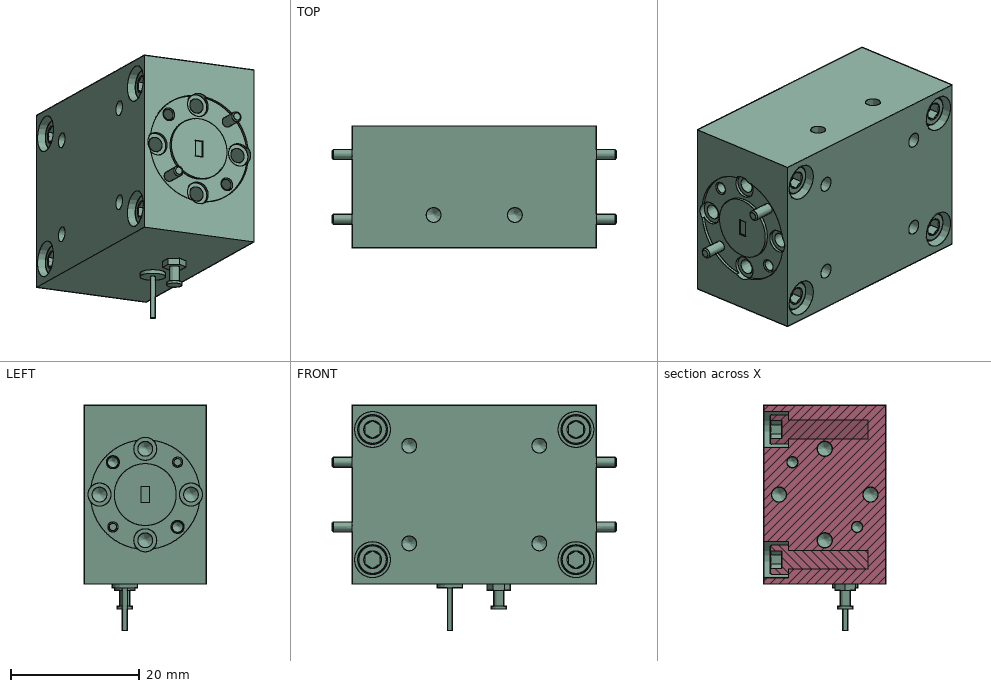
import cadquery as cq
import math

overall_length = 44.3
block_length = 38.1
block_width = 19.05
block_height = 27.9
end_face_x = block_length / 2
front_face_y = -block_width / 2
top_face_z = block_height / 2
bottom_face_z = -block_height / 2

tapped_diameter = 2.3
tapped_depth = 2 * tapped_diameter
drill_point_angle = 118.0
front_hole_x = 10.15
front_hole_z = 7.62
top_hole_x = 6.35
top_hole_y = -4.4

screw_x = 15.85
screw_z = 10.15
head_diameter = 4.65
head_height = 2.85
head_chamfer = 0.18
hex_socket_width = 2.4
hex_socket_depth = 1.77
socket_lip_depth = 0.15
shank_diameter = 2.85
shank_length = 12.4
head_recess = 1.0
counterbore_diameter = 5.6
counterbore_depth = head_recess + head_height

ring_outer_diameter = 17.1
ring_inner_diameter = 9.65
ring_depth = 0.5
spotface_diameter = 3.6
spotface_depth = 2 * ring_depth
bolt_circle_radius = 7.15
aperture_width = 1.3
aperture_height = 2.53
aperture_depth = 0.25

dowel_diameter = 1.6
dowel_chamfer = 0.2
dowel_tip_x = overall_length / 2
dowel_hole_diameter = 1.7
dowel_hole_lip = 0.18
dowel_hole_depth = 3.55

terminal_x = 3.8
terminal_y = 3.2
feed_flange_diameter = 4.0
feed_flange_height = 0.58
feed_pin_diameter = 0.8
feed_pin_length = 7.25
turret_hex_width = 3.2
turret_hex_height = 0.98
turret_post_diameter = 1.6
turret_collar_diameter = 2.4
turret_collar_height = 0.45
turret_length = 3.9


def cylinder(start, direction, diameter, length):
    """Round bar from a start point along a direction."""
    bar = cq.Solid.makeCylinder(diameter / 2, length, cq.Vector(*start), cq.Vector(*direction))
    return cq.Workplane(bar)


def cone(start, direction, start_diameter, end_diameter, length):
    """Tapered round bar from a start point along a direction."""
    start_radius = start_diameter / 2
    end_radius = end_diameter / 2
    bar = cq.Solid.makeCone(start_radius, end_radius, length, cq.Vector(*start), cq.Vector(*direction))
    return cq.Workplane(bar)


def shifted(point, direction, distance):
    """Point moved a distance along a direction."""
    return tuple(p + d * distance for p, d in zip(point, direction))


def blind_hole(start, direction, diameter, depth):
    """Drilled blind hole with a conical bottom, as a cutting tool."""
    point_length = diameter / 2 / math.tan(math.radians(drill_point_angle / 2))
    bottom = shifted(start, direction, depth)
    bore = cylinder(start, direction, diameter, depth)
    return bore.union(cone(bottom, direction, diameter, 0, point_length))


def on_bolt_circle(x, angle):
    """Point on the flange bolt circle, angle measured from +Y towards +Z."""
    turn = math.radians(angle)
    return x, bolt_circle_radius * math.cos(turn), bolt_circle_radius * math.sin(turn)


def flange_cutter():
    """Everything cut into the -X end face."""
    inward = (1, 0, 0)
    face_centre = (-end_face_x, 0, 0)
    ring_floor_x = -end_face_x + ring_depth
    spotface_floor_x = -end_face_x + spotface_depth

    cutter = cylinder(face_centre, inward, ring_outer_diameter, ring_depth)
    cutter = cutter.cut(cylinder(face_centre, inward, ring_inner_diameter, ring_depth))
    aperture = cq.Workplane("XY").box(aperture_depth, aperture_width, aperture_height)
    cutter = cutter.union(aperture.translate((-end_face_x + aperture_depth / 2, 0, 0)))

    for angle in (0, 90, 180, 270):
        spotface_rim = on_bolt_circle(-end_face_x, angle)
        spotface = cylinder(spotface_rim, inward, spotface_diameter, spotface_depth)
        mouth = on_bolt_circle(spotface_floor_x, angle)
        bolt_hole = blind_hole(mouth, inward, tapped_diameter, tapped_depth)
        cutter = cutter.union(spotface).union(bolt_hole)

    for angle in (45, 225):
        mouth = on_bolt_circle(ring_floor_x, angle)
        mouth_diameter = dowel_hole_diameter + 2 * dowel_hole_lip
        lip = cone(mouth, inward, mouth_diameter, dowel_hole_diameter, dowel_hole_lip)
        cutter = cutter.union(blind_hole(mouth, inward, dowel_hole_diameter, dowel_hole_depth)).union(lip)
    return cutter


def flange_dowels():
    """The two dowel pins standing on the -X flange."""
    ring_floor_x = -end_face_x + ring_depth
    dowels = cq.Workplane("XY")
    for angle in (135, 315):
        root = on_bolt_circle(ring_floor_x, angle)
        pin = cylinder(root, (-1, 0, 0), dowel_diameter, dowel_tip_x + ring_floor_x)
        dowels = dowels.add(pin.faces("<X").chamfer(dowel_chamfer))
    return dowels


def feedthrough():
    """Round flange and pin under the block."""
    base = (-terminal_x, terminal_y, bottom_face_z)
    flange = cylinder(base, (0, 0, -1), feed_flange_diameter, feed_flange_height)
    return flange.union(cylinder(base, (0, 0, -1), feed_pin_diameter, feed_pin_length))


def cap_screw(x, z, clearance_only=False):
    """Socket head cap screw along +Y, or the counterbored hole that holds it."""
    inward = (0, 1, 0)
    seat = (x, front_face_y + counterbore_depth, z)
    shank = cylinder(seat, inward, shank_diameter, shank_length)
    if clearance_only:
        mouth = (x, front_face_y, z)
        return shank.union(cylinder(mouth, inward, counterbore_diameter, counterbore_depth))

    head_top = (x, front_face_y + head_recess, z)
    head = cylinder(head_top, inward, head_diameter, head_height).faces("<Y").chamfer(head_chamfer)
    corner_diameter = hex_socket_width / math.cos(math.pi / 6)
    top_plane = cq.Plane(origin=head_top, xDir=(0, 0, 1), normal=inward)
    socket = cq.Workplane(top_plane).polygon(6, corner_diameter).extrude(hex_socket_depth)
    lip = cone(head_top, inward, corner_diameter, hex_socket_width, socket_lip_depth)
    return head.union(shank).cut(socket).cut(lip)


def make_housing(screw_places):
    housing = cq.Workplane("XY").box(block_length, block_width, block_height)

    for x in (-front_hole_x, front_hole_x):
        for z in (-front_hole_z, front_hole_z):
            mouth = (x, front_face_y, z)
            housing = housing.cut(blind_hole(mouth, (0, 1, 0), tapped_diameter, tapped_depth))
    for x in (-top_hole_x, top_hole_x):
        mouth = (x, top_hole_y, top_face_z)
        housing = housing.cut(blind_hole(mouth, (0, 0, -1), tapped_diameter, tapped_depth))
    for x, z in screw_places:
        housing = housing.cut(cap_screw(x, z, clearance_only=True))

    for turn in (0, 180):
        housing = housing.cut(flange_cutter().rotate((0, 0, 0), (0, 0, 1), turn))
        for dowel in flange_dowels().vals():
            housing = housing.union(cq.Workplane(dowel.rotate((0, 0, 0), (0, 0, 1), turn)))
    return housing.union(feedthrough())


def make_turret():
    base = (terminal_x, terminal_y, bottom_face_z)
    down = (0, 0, -1)
    corner_diameter = turret_hex_width / math.cos(math.pi / 6)
    base_plane = cq.Plane(origin=base, xDir=(1, 0, 0), normal=down)
    hex_base = cq.Workplane(base_plane).polygon(6, corner_diameter).extrude(turret_hex_height)
    collar_top = shifted(base, down, turret_length - turret_collar_height)
    post = cylinder(base, down, turret_post_diameter, turret_length)
    collar = cylinder(collar_top, down, turret_collar_diameter, turret_collar_height)
    return hex_base.union(post).union(collar)


screw_places = [(x, z) for x in (-screw_x, screw_x) for z in (-screw_z, screw_z)]
housing = make_housing(screw_places)
screws = [cap_screw(x, z) for x, z in screw_places]
turret = make_turret()

bodies = [housing, *screws, turret]

result = cq.Compound.makeCompound([body.solids().val() for body in bodies])